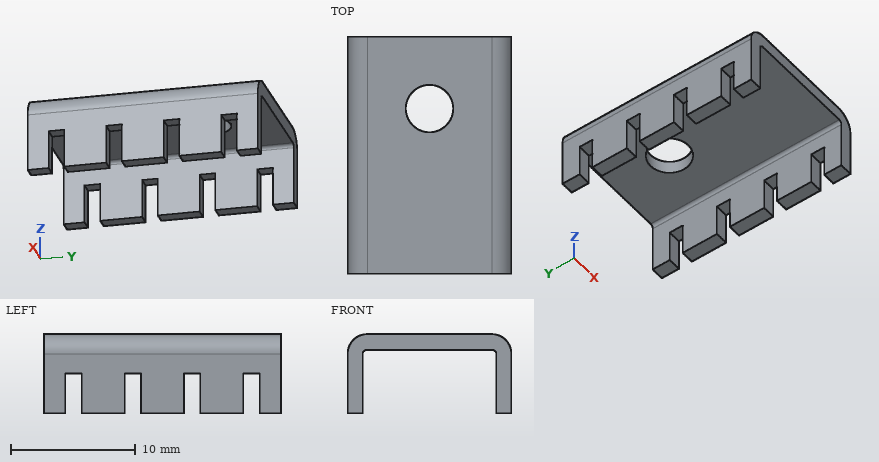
import cadquery as cq

width = 13.2
length = 19.1
height = 6.4

web_thickness = 1.3
wall_thickness = 1.23
outer_bend_radius = 1.6
inner_bend_radius = outer_bend_radius - web_thickness

hole_diameter = 3.8
hole_from_back_edge = 5.8
hole_y = length / 2 - hole_from_back_edge

slot_count = 4
slot_width = 1.3
slot_depth = height / 2
slot_pitch = length / slot_count


def rounded_block(block_width, block_height, bend_radius):
    """Full-length block standing on Z = 0 with its two long top edges rounded."""
    block = cq.Workplane("XY").box(block_width, length, block_height, centered=(True, True, False))
    return block.edges("|Y and >Z").fillet(bend_radius)


def make_channel():
    """U-shaped channel, open at the bottom and at both ends."""
    outside = rounded_block(width, height, outer_bend_radius)
    inner_width = width - 2 * wall_thickness
    inner_height = height - web_thickness
    inside = rounded_block(inner_width, inner_height, inner_bend_radius)
    return outside.cut(inside)


def cut_mounting_hole(body):
    """Round hole straight down through the web."""
    hole = cq.Workplane("XY").center(0, hole_y).circle(hole_diameter / 2).extrude(height)
    return body.cut(hole)


def cut_fin_slots(body):
    """Evenly pitched slots from the bottom edge, across both side walls."""
    first_slot_y = -slot_pitch * (slot_count - 1) / 2
    for index in range(slot_count):
        slot_y = first_slot_y + index * slot_pitch
        slot = cq.Workplane("XY").center(0, slot_y).rect(width, slot_width).extrude(slot_depth)
        body = body.cut(slot)
    return body


channel = make_channel()
drilled_channel = cut_mounting_hole(channel)
result = cut_fin_slots(drilled_channel)